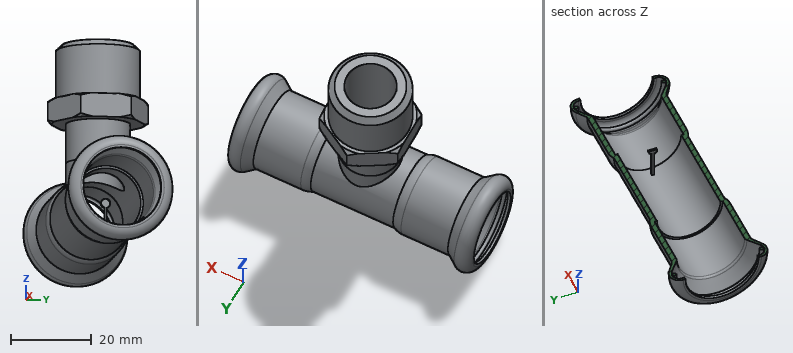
import cadquery as cq
import math

length = 68.0
run_diameter = 20.0
run_bore = 17.0
socket_diameter = 21.3
socket_bore = 18.2
socket_inner_end = 14.0
shoulder_end = 11.5
bore_step_x = 12.6

bead_diameter = 26.2
bead_center_diameter = 20.95
mouth_bore = 19.6
flare_angle = math.radians(36)
inner_flare_angle = math.radians(40)
bead_wall = 0.8
flare_round_diameter = 18.8
seal_radius = 0.55

bead_radius = (bead_diameter - bead_center_diameter) / 2
bead_center_x = length / 2 - bead_radius
flare_top_x = bead_center_x - bead_radius * math.sin(flare_angle)
flare_top_radius = bead_center_diameter / 2 + bead_radius * math.cos(flare_angle)
flare_foot_x = flare_top_x - (flare_top_radius - socket_diameter / 2) / math.tan(flare_angle)

groove_radius = bead_radius - bead_wall
seal_center_radius = bead_center_diameter / 2 + groove_radius - seal_radius
groove_top_x = bead_center_x - groove_radius * math.sin(inner_flare_angle)
groove_top_radius = bead_center_diameter / 2 + groove_radius * math.cos(inner_flare_angle)
flare_round_rise = (flare_round_diameter - socket_bore) / 2
flare_round_x = groove_top_x - (groove_top_radius - flare_round_diameter / 2) / math.tan(inner_flare_angle)
flare_round_radius = flare_round_rise / (1 - math.cos(inner_flare_angle))

branch_diameter = 16.0
branch_bore = 13.0
branch_joint_z = 11.9
hex_bottom_z = 21.8
hex_top_z = 27.75
hex_across_flats = 21.95
hex_face_diameter = 23.0
hex_chamfer_angle = math.radians(30)
thread_diameter = 20.95
thread_top_z = 41.7
thread_chamfer_height = 1.5
thread_end_diameter = 17.8

disc_diameter = 2.3
stem_width = 0.6
disc_thickness = 0.7
disc_x = 10.2


def turned(profile):
    """Revolve a profile, drawn as X and radius, about the run axis."""
    return profile.close().revolve(360, (0, 0, 0), (1, 0, 0))


def shoulder_middle():
    """Point halfway along the shoulder arc, which is tangent to the socket."""
    run = socket_inner_end - shoulder_end
    rise = (socket_diameter - run_diameter) / 2
    radius = (run**2 + rise**2) / (2 * rise)
    half_angle = math.asin(run / radius) / 2
    return (
        socket_inner_end - radius * math.sin(half_angle),
        socket_diameter / 2 - radius * (1 - math.cos(half_angle)),
    )


def bead_arc_middle(radius, start_angle):
    """Point halfway along a bead arc that runs from the flare to the mouth."""
    angle = (math.pi / 2 - start_angle) / 2
    return (
        bead_center_x + radius * math.cos(angle),
        bead_center_diameter / 2 + radius * math.sin(angle),
    )


def mirrored(points):
    """The same points on the -X side."""
    return [(-x, radius) for x, radius in points]


def make_run_body():
    """Outside of the run, filled."""
    bead_end = (length / 2, bead_center_diameter / 2)
    flare_top = (flare_top_x, flare_top_radius)
    arc_middle = bead_arc_middle(bead_radius, flare_angle)
    flare_foot = (flare_foot_x, socket_diameter / 2)
    socket_end = (socket_inner_end, socket_diameter / 2)
    shoulder = shoulder_middle()
    run_end = (shoulder_end, run_diameter / 2)
    points = [bead_end, arc_middle, flare_top, flare_foot, socket_end, shoulder, run_end]
    end, arc, top, foot, socket, round_point, run = mirrored(points)
    profile = (
        cq.Workplane("XY")
        .moveTo(-length / 2, 0)
        .lineTo(*end)
        .threePointArc(arc, top)
        .lineTo(*foot)
        .lineTo(*socket)
        .threePointArc(round_point, run)
        .lineTo(*run_end)
        .threePointArc(shoulder, socket_end)
        .lineTo(*flare_foot)
        .lineTo(*flare_top)
        .threePointArc(arc_middle, bead_end)
        .lineTo(length / 2, 0)
    )
    return turned(profile)


def make_socket_bore():
    """Bore of the +X socket: socket bore, rounded flare, hollow of the bead and mouth."""
    half_angle = inner_flare_angle / 2
    socket_end_x = flare_round_x - flare_round_radius * math.sin(inner_flare_angle)
    round_middle = (
        socket_end_x + flare_round_radius * math.sin(half_angle),
        socket_bore / 2 + flare_round_radius * (1 - math.cos(half_angle)),
    )
    lip_x = length / 2 - bead_wall
    profile = (
        cq.Workplane("XY")
        .moveTo(bore_step_x, 0)
        .lineTo(bore_step_x, socket_bore / 2)
        .lineTo(socket_end_x, socket_bore / 2)
        .threePointArc(round_middle, (flare_round_x, flare_round_diameter / 2))
        .lineTo(groove_top_x, groove_top_radius)
        .threePointArc(bead_arc_middle(groove_radius, inner_flare_angle), (lip_x, bead_center_diameter / 2))
        .lineTo(lip_x, mouth_bore / 2)
        .lineTo(length / 2, mouth_bore / 2)
        .lineTo(length / 2, 0)
    )
    return turned(profile)


def make_seal(side):
    """Seal ring in the bead at the end given by side, -1 or 1."""
    return (
        cq.Workplane("XY")
        .center(side * bead_center_x, seal_center_radius)
        .circle(seal_radius)
        .revolve(360, (0, -seal_center_radius, 0), (1, -seal_center_radius, 0))
    )


def make_marker():
    """Disc on the run axis with its stem, which ends inside the run wall."""
    wall_middle = (run_diameter + run_bore) / 4
    plane = cq.Workplane("YZ", origin=(disc_x, 0, 0))
    disc = plane.circle(disc_diameter / 2).extrude(disc_thickness)
    stem = plane.center(0, -wall_middle / 2).rect(stem_width, wall_middle).extrude(disc_thickness)
    return disc.union(stem)


def make_tee():
    """Run with two sockets, branch stub, bores, seal grooves and the disc on its stem."""
    stub = cq.Workplane("XY").circle(branch_diameter / 2).extrude(branch_joint_z)
    stub_bore = cq.Workplane("XY").circle(branch_bore / 2).extrude(branch_joint_z)
    run_bore_cut = cq.Workplane("YZ").circle(run_bore / 2).extrude(bore_step_x, both=True)
    socket_cut = make_socket_bore()
    tee = make_run_body().union(stub).cut(stub_bore).cut(run_bore_cut)
    tee = tee.cut(socket_cut).cut(socket_cut.mirror("YZ"))
    return tee.union(make_marker())


def make_hexagon():
    """Hexagon with corners toward +Y and -Y, chamfered on both faces."""
    height = hex_top_z - hex_bottom_z
    corner_diameter = hex_across_flats / math.cos(math.pi / 6)
    chamfer_width = (corner_diameter - hex_face_diameter) / 2
    chamfer_height = chamfer_width * math.tan(hex_chamfer_angle)
    prism = (
        cq.Workplane("XY", origin=(0, 0, hex_bottom_z))
        .transformed(rotate=(0, 0, 90))
        .polygon(6, corner_diameter)
        .extrude(height)
    )
    chamfered_disc = (
        cq.Workplane("XY", origin=(0, 0, hex_bottom_z))
        .circle(corner_diameter / 2)
        .extrude(height)
        .edges()
        .chamfer(chamfer_height, chamfer_width)
    )
    return prism.intersect(chamfered_disc)


def make_adapter():
    """Pipe, hexagon and chamfered thread barrel with a through bore."""
    pipe = (
        cq.Workplane("XY", origin=(0, 0, branch_joint_z))
        .circle(branch_diameter / 2)
        .extrude(hex_bottom_z - branch_joint_z)
    )
    barrel = (
        cq.Workplane("XY", origin=(0, 0, hex_top_z))
        .circle(thread_diameter / 2)
        .extrude(thread_top_z - hex_top_z)
        .faces(">Z")
        .edges()
        .chamfer(thread_chamfer_height, (thread_diameter - thread_end_diameter) / 2)
    )
    bore = (
        cq.Workplane("XY", origin=(0, 0, branch_joint_z))
        .circle(branch_bore / 2)
        .extrude(thread_top_z - branch_joint_z)
    )
    return pipe.union(make_hexagon()).union(barrel).cut(bore)


tee = make_tee()
adapter = make_adapter()
seals = [make_seal(side) for side in (-1, 1)]

bodies = [tee.solids().val(), adapter.solids().val(), *[seal.val() for seal in seals]]
result = cq.Compound.makeCompound(bodies)